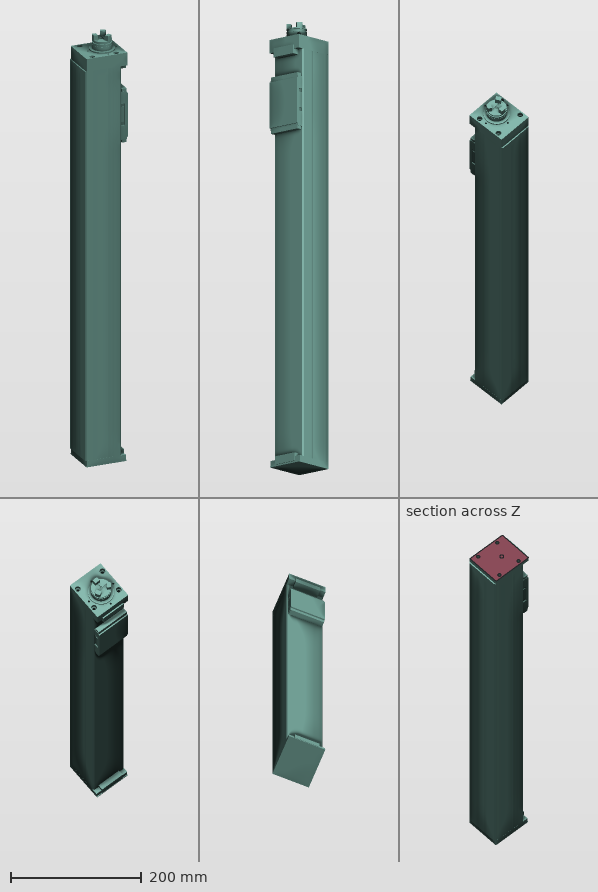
import cadquery as cq


TOTAL_HEIGHT = 697.4
COUPLING_HEIGHT = 25.4
DRIVE_CAP_HEIGHT = 21.0
END_CAP_HEIGHT = 10.5
CAP_TOP = TOTAL_HEIGHT - COUPLING_HEIGHT
CAP_BOTTOM = CAP_TOP - DRIVE_CAP_HEIGHT

WIDTH = 60.0
HALF_WIDTH = WIDTH / 2
FRONT_Y = -41.0
BACK_Y = FRONT_Y + WIDTH
CORNER_CHAMFER = 2.0
GROOVE_DEPTH = 0.3
FRONT_GROOVES = [(5.2, 11.5), (22.0, 26.0)]
SIDE_GROOVES = [(-37.0, -35.0), (-3.0, 1.0)]
SIDE_LEDGES = [(-35.0, -33.0), (-28.4, -5.0), (1.0, 7.0)]
LEDGE_DEPTH = GROOVE_DEPTH / 2

CAP_FRONT_Y = FRONT_Y + 2.0
CAP_BACK_Y = 29.0
CAP_BEVEL_X = 2.0
CAP_BEVEL_Y = 0.4
LIP_BACK_Y = 31.0
LIP_WIDTH = 40.0
LIP_DROP = 8.0
LIP_RISE = 6.0
END_LIP_BACK_Y = 28.0
END_LIP_TOP = 16.0
END_LIP_BOTTOM = 3.0
END_CAP_BACK_Y = 26.5
FOOT_HEIGHT = 1.5

RING_DIAMETER = 40.0
RING_HEIGHT = 2.0
SCREW_X = 24.0
SCREW_ROWS = (13.0, -26.8)
SCREW_DIAMETER = 4.5
SCREW_HEAD_DIAMETER = 8.7
SCREW_HEAD_DEPTH = 6.0
MOUNT_COUNT = 4
MOUNT_RADIUS = 23.8
MOUNT_DIAMETER = 3.24
MOUNT_DEPTH = 10.0

HUB_DIAMETER = 31.0
HUB_BOTTOM = CAP_TOP + RING_HEIGHT
JAW_HEIGHT = 8.4
HUB_TOP = TOTAL_HEIGHT - JAW_HEIGHT
NECK_DIAMETER = 28.0
NECK_BOTTOM = HUB_BOTTOM + 10.6
NECK_TOP = HUB_TOP - 1.6
RIM_GROOVE_BOTTOM = HUB_BOTTOM + 6.6
RIM_GROOVE_HEIGHT = 2.1
RIM_GROOVE_DIAMETER = 30.4
CLAMP_Y = 9.0
CLAMP_Z = HUB_BOTTOM + 4.5
CLAMP_DIAMETER = 5.5
CLAMP_INNER_X = 6.0
SLOT_DEPTH = 1.0
SLOT_CROSS_X = 13.0
SLOT_CROSS_Y = (0.0, 3.0)
SLOT_STEM_WIDTH = 2.0
JAW_COUNT = 3
JAW_WIDTH = 8.7
JAW_INNER_RADIUS = 8.5
FIRST_JAW_ANGLE = -90.0
SHAFT_DIAMETER = 5.0
SHAFT_TOP = HUB_TOP - 2.0

CARRIAGE_BOTTOM = 529.0
CARRIAGE_TOP = 607.5
CARRIAGE_WIDTH = 56.0
WIPER_WIDTH = 55.0
CARRIAGE_BACK_Y = 29.0
WIPER_THICKNESS = 5.0
WIPER_FRONT_Y = BACK_Y + 2.0
PLATE_BOTTOM = 532.5
PLATE_TOP = 604.5
POCKET_MIDDLE = 570.2
POCKET_LENGTH = 35.6
POCKET_BACK_Y = 26.0
POCKET_DEPTH = 2.0
PAD_LENGTH = 24.6
PAD_BACK_Y = 25.0
PAD_DROP = 0.8


def block(x_range, y_range, z_range):
    """Box between the given limits."""
    size = [high - low for low, high in (x_range, y_range, z_range)]
    corner = (x_range[0], y_range[0], z_range[0])
    return cq.Workplane("XY").box(*size, centered=False).translate(corner)


def wide_block(width, y_range, z_range):
    """Box that is symmetric about X = 0."""
    return block((-width / 2, width / 2), y_range, z_range)


def cut_mirrored(body, x_range, y_range, z_range):
    """Cut a box and its mirror image across X = 0."""
    cutter = block(x_range, y_range, z_range)
    return body.cut(cutter).cut(cutter.mirror("YZ"))


def disc(diameter, bottom, top):
    """Cylinder on the shaft axis."""
    return cq.Workplane("XY").workplane(offset=bottom).circle(diameter / 2).extrude(top - bottom)


def make_profile():
    """Solid bar between the two caps, with grooves along its length."""
    length = (END_CAP_HEIGHT, CAP_BOTTOM)
    profile = wide_block(WIDTH, (FRONT_Y, BACK_Y), length)
    profile = profile.edges("|Z").chamfer(CORNER_CHAMFER)
    for inner, outer in FRONT_GROOVES:
        profile = cut_mirrored(profile, (inner, outer), (FRONT_Y, FRONT_Y + GROOVE_DEPTH), length)
    for y_range in SIDE_GROOVES:
        profile = cut_mirrored(profile, (HALF_WIDTH - GROOVE_DEPTH, HALF_WIDTH), y_range, length)
    for y_range in SIDE_LEDGES:
        profile = cut_mirrored(profile, (HALF_WIDTH - LEDGE_DEPTH, HALF_WIDTH), y_range, length)
    return profile


def cap_plate(back_y, bottom, top):
    """Rectangular cap with a flat bevel on its two front corners."""
    outline = [
        (HALF_WIDTH, back_y),
        (-HALF_WIDTH, back_y),
        (-HALF_WIDTH, CAP_FRONT_Y + CAP_BEVEL_Y),
        (-HALF_WIDTH + CAP_BEVEL_X, CAP_FRONT_Y),
        (HALF_WIDTH - CAP_BEVEL_X, CAP_FRONT_Y),
        (HALF_WIDTH, CAP_FRONT_Y + CAP_BEVEL_Y),
    ]
    return cq.Workplane("XY").workplane(offset=bottom).polyline(outline).close().extrude(top - bottom)


def make_drive_cap():
    """Cap at the drive end, with a centring ring, a lip over the back and the screw holes."""
    cap = cap_plate(CAP_BACK_Y, CAP_BOTTOM, CAP_TOP)
    lip_z = (CAP_BOTTOM - LIP_DROP, CAP_BOTTOM + LIP_RISE)
    cap = cap.union(wide_block(LIP_WIDTH, (BACK_Y, LIP_BACK_Y), lip_z))
    cap = cap.union(disc(RING_DIAMETER, CAP_TOP, HUB_BOTTOM))

    screws = [(side * SCREW_X, y) for side in (-1, 1) for y in SCREW_ROWS]
    top = cq.Workplane("XY").workplane(offset=CAP_TOP)
    heads = top.pushPoints(screws).circle(SCREW_HEAD_DIAMETER / 2).extrude(-SCREW_HEAD_DEPTH)
    shanks = top.pushPoints(screws).circle(SCREW_DIAMETER / 2).extrude(-DRIVE_CAP_HEIGHT)
    mount_points = top.polarArray(MOUNT_RADIUS, 0, 360, MOUNT_COUNT)
    mounts = mount_points.circle(MOUNT_DIAMETER / 2).extrude(-MOUNT_DEPTH)
    bore = disc(SHAFT_DIAMETER, CAP_BOTTOM, HUB_BOTTOM)
    return cap.cut(heads).cut(shanks).cut(mounts).cut(bore)


def make_end_cap():
    """Plain cap at the lower end, with a lip that rises behind the profile."""
    cap = cap_plate(END_CAP_BACK_Y, 0, END_CAP_HEIGHT)
    foot = wide_block(WIDTH, (CAP_FRONT_Y, END_LIP_BACK_Y), (0, FOOT_HEIGHT))
    lip = wide_block(LIP_WIDTH, (BACK_Y, END_LIP_BACK_Y), (END_LIP_BOTTOM, END_LIP_TOP))
    return cap.union(foot).union(lip)


def make_jaw(angle):
    """One coupling claw, a radial bar rounded off by the hub diameter."""
    length = HUB_DIAMETER / 2 - JAW_INNER_RADIUS
    middle = JAW_INNER_RADIUS + length / 2
    bar = cq.Workplane("XY").workplane(offset=HUB_TOP).center(middle, 0).rect(length, JAW_WIDTH)
    jaw = bar.extrude(JAW_HEIGHT).intersect(disc(HUB_DIAMETER, HUB_TOP, TOTAL_HEIGHT))
    return jaw.rotate((0, 0, 0), (0, 0, 1), angle)


def make_coupling():
    """Clamping hub with a neck, a groove, a clamp screw hole, claws and a T-shaped top groove."""
    hub = disc(HUB_DIAMETER, HUB_BOTTOM, NECK_BOTTOM)
    hub = hub.cut(ring_cut(RIM_GROOVE_DIAMETER, RIM_GROOVE_BOTTOM, RIM_GROOVE_BOTTOM + RIM_GROOVE_HEIGHT))
    hub = hub.union(disc(NECK_DIAMETER, NECK_BOTTOM, NECK_TOP))
    hub = hub.union(disc(HUB_DIAMETER, NECK_TOP, HUB_TOP))
    for index in range(JAW_COUNT):
        hub = hub.union(make_jaw(FIRST_JAW_ANGLE + index * 360 / JAW_COUNT))
    clamp = cq.Workplane("YZ").workplane(offset=-CLAMP_INNER_X).center(CLAMP_Y, CLAMP_Z)
    hub = hub.cut(clamp.circle(CLAMP_DIAMETER / 2).extrude(-HUB_DIAMETER / 2))
    slot_z = (HUB_TOP - SLOT_DEPTH, HUB_TOP)
    hub = hub.cut(wide_block(2 * SLOT_CROSS_X, SLOT_CROSS_Y, slot_z))
    hub = hub.cut(wide_block(SLOT_STEM_WIDTH, (-JAW_INNER_RADIUS, 0), slot_z))
    return hub.cut(disc(SHAFT_DIAMETER, HUB_BOTTOM, HUB_TOP))


def ring_cut(inner_diameter, bottom, top):
    """Cutter that leaves only the inner diameter of the hub."""
    return disc(HUB_DIAMETER, bottom, top).cut(disc(inner_diameter, bottom, top))


def make_shaft():
    """Round shaft from the underside of the drive cap into the coupling."""
    return disc(SHAFT_DIAMETER, CAP_BOTTOM, SHAFT_TOP)


def make_carriage():
    """Carriage on the back of the profile, with end wipers, a top plate and side pockets."""
    z_range = (CARRIAGE_BOTTOM, CARRIAGE_TOP)
    carriage = wide_block(CARRIAGE_WIDTH, (BACK_Y, CARRIAGE_BACK_Y), z_range)
    wiper_z = (CARRIAGE_BOTTOM - WIPER_THICKNESS, CARRIAGE_TOP + WIPER_THICKNESS)
    carriage = carriage.union(wide_block(WIPER_WIDTH, (WIPER_FRONT_Y, CARRIAGE_BACK_Y), wiper_z))
    plate_z = (PLATE_BOTTOM, PLATE_TOP)
    carriage = carriage.union(wide_block(CARRIAGE_WIDTH, (CARRIAGE_BACK_Y, LIP_BACK_Y), plate_z))

    outer_x = CARRIAGE_WIDTH / 2
    pocket_z = (POCKET_MIDDLE - POCKET_LENGTH / 2, POCKET_MIDDLE + POCKET_LENGTH / 2)
    pad_z = (POCKET_MIDDLE - PAD_LENGTH / 2, POCKET_MIDDLE + PAD_LENGTH / 2)
    pocket = block((outer_x - POCKET_DEPTH, outer_x), (BACK_Y, POCKET_BACK_Y), pocket_z)
    pad = block((outer_x - POCKET_DEPTH, outer_x - PAD_DROP), (BACK_Y, PAD_BACK_Y), pad_z)
    recess = pocket.cut(pad)
    return carriage.cut(recess).cut(recess.mirror("YZ"))

profile = make_profile()
drive_cap = make_drive_cap()
end_cap = make_end_cap()
coupling = make_coupling()
shaft = make_shaft()
carriage = make_carriage()

bodies = [profile, drive_cap, end_cap, coupling, shaft, carriage]
result = cq.Compound.makeCompound([body.val() for body in bodies])